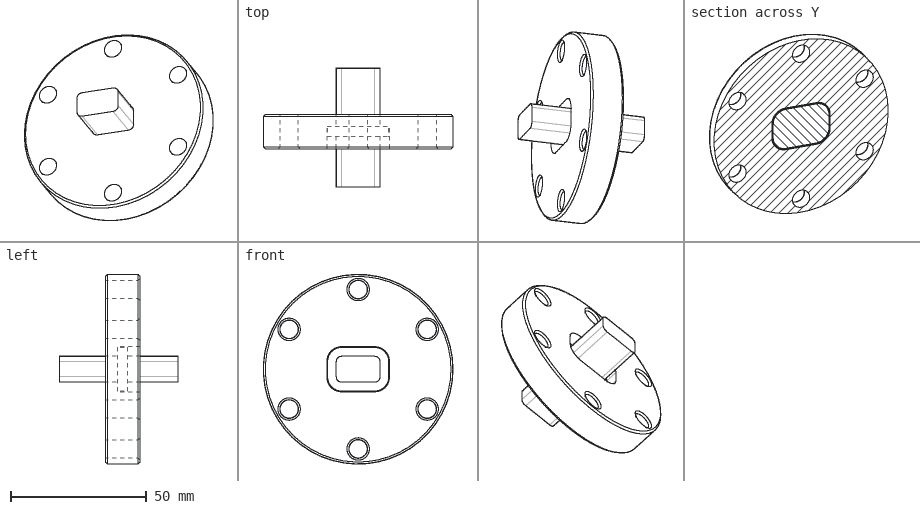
import cadquery as cq

FLANGE_DIAMETER = 69.85
FLANGE_THICKNESS = 12.8
FLANGE_CHAMFER = 0.8

BOLT_COUNT = 6
BOLT_CIRCLE_RADIUS = 29.35
BOLT_HOLE_DIAMETER = 6.7
BOLT_HOLE_CHAMFER = 0.8

ROD_WIDTH = 16.15
ROD_HEIGHT = 9.6
ROD_CORNER_RADIUS = 2.0
ROD_LENGTH = 43.8
ROD_FRONT_REACH = 14.05

SOCKET_WIDTH = 23.05
SOCKET_HEIGHT = 16.6
SOCKET_CORNER_RADIUS = 5.45
SOCKET_DEPTH = 8.4

COLLAR_SETBACK = 4.6
COLLAR_CLEARANCE = 0.3


def bar(width, height, corner_radius, front_y, length):
    """Rounded rectangular bar centred on the Y axis, running toward +Y."""
    return (
        cq.Workplane("XZ", origin=(0, front_y, 0))
        .rect(width, height)
        .extrude(-length)
        .edges("|Y")
        .fillet(corner_radius)
    )


def make_plain_rod():
    return bar(ROD_WIDTH, ROD_HEIGHT, ROD_CORNER_RADIUS, -ROD_FRONT_REACH, ROD_LENGTH)


def make_rod():
    collar = bar(
        SOCKET_WIDTH - 2 * COLLAR_CLEARANCE,
        SOCKET_HEIGHT - 2 * COLLAR_CLEARANCE,
        SOCKET_CORNER_RADIUS - COLLAR_CLEARANCE,
        COLLAR_SETBACK,
        SOCKET_DEPTH - COLLAR_SETBACK,
    )
    return make_plain_rod().union(collar)


def make_socket():
    return bar(SOCKET_WIDTH, SOCKET_HEIGHT, SOCKET_CORNER_RADIUS, 0, SOCKET_DEPTH)


def make_bolt_holes():
    """Through holes with a chamfered front rim; the first is straight above the axis."""
    hole_radius = BOLT_HOLE_DIAMETER / 2
    rim_radius = hole_radius + BOLT_HOLE_CHAMFER
    profile = [
        (0, 0),
        (rim_radius, 0),
        (hole_radius, BOLT_HOLE_CHAMFER),
        (hole_radius, FLANGE_THICKNESS),
        (0, FLANGE_THICKNESS),
    ]
    hole = (
        cq.Workplane("XY")
        .polyline(profile)
        .close()
        .revolve(360, (0, 0), (0, 1))
        .translate((0, 0, BOLT_CIRCLE_RADIUS))
    )
    holes = cq.Workplane("XY")
    for index in range(BOLT_COUNT):
        angle = index * 360 / BOLT_COUNT
        holes = holes.add(hole.rotate((0, 0, 0), (0, 1, 0), angle))
    return holes


def make_flange():
    disc = (
        cq.Workplane("XZ")
        .circle(FLANGE_DIAMETER / 2)
        .extrude(-FLANGE_THICKNESS)
        .faces("<Y or >Y")
        .chamfer(FLANGE_CHAMFER)
    )
    for hole in make_bolt_holes().vals():
        disc = disc.cut(cq.Workplane(hole))
    return disc.cut(make_socket()).cut(make_plain_rod())


flange = make_flange()
rod = make_rod()

result = cq.Compound.makeCompound([flange.val(), rod.val()])